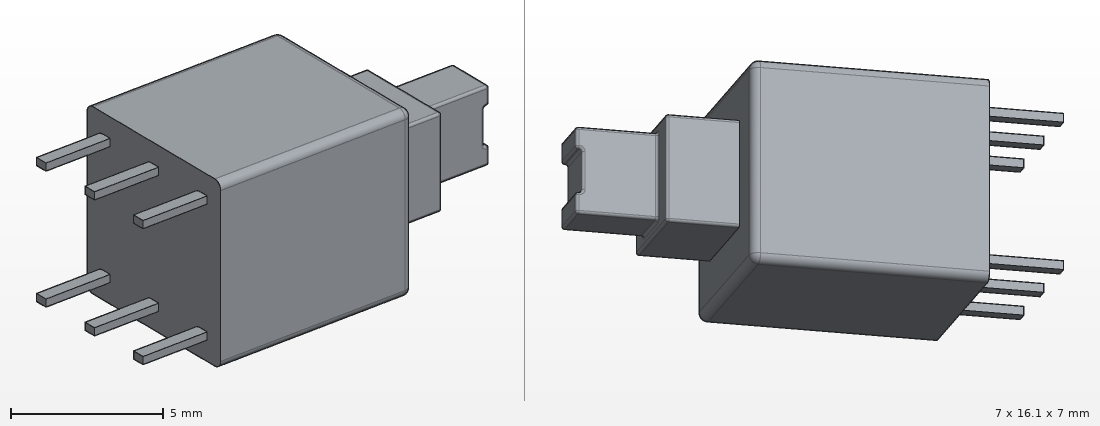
import cadquery as cq

total_length = 16.1
pin_length = 2.7
collar_length = 2.5
plunger_length = 2.8
body_length = total_length - pin_length - collar_length - plunger_length

body_size = 7.0
body_fillet = 0.3

collar_width = 3.9
collar_height = 3.7
plunger_width = 1.9
plunger_height = 3.0
edge_fillet = 0.1

notch_height = 1.5
notch_depth = 0.21

pin_width = 0.5
pin_thickness = 0.3
pin_pitch = 2.55
row_spacing = 2 * pin_pitch

body_end = body_length
collar_end = body_end + collar_length
plunger_end = collar_end + plunger_length


def block(width, height, start, end):
    """Box centred on the switch axis, running from start to end along Y."""
    return (
        cq.Workplane("XY")
        .box(width, end - start, height, centered=(True, False, True))
        .translate((0, start, 0))
    )


def make_body():
    body = block(body_size, body_size, 0, body_end)
    return body.edges("|Y or >Y").fillet(body_fillet)


def make_collar():
    collar = block(collar_width, collar_height, body_end, collar_end)
    return collar.edges("|Y or >Y").fillet(edge_fillet)


def make_plunger():
    """Bar with a notched tip; every edge is rounded except those at its root."""
    plunger = block(plunger_width, plunger_height, collar_end, plunger_end)
    notch = block(plunger_width, notch_height, plunger_end - notch_depth, plunger_end)
    return plunger.cut(notch).edges("not <Y").fillet(edge_fillet)


def add_root_fillet(part):
    """Blend the plunger into the end face of the collar."""
    margin = edge_fillet
    root = cq.selectors.BoxSelector(
        (-plunger_width / 2 - margin, collar_end - margin / 2, -plunger_height / 2 - margin),
        (plunger_width / 2 + margin, collar_end + margin / 2, plunger_height / 2 + margin),
        boundingbox=True,
    )
    return part.edges(root).fillet(edge_fillet)


def make_pins():
    """Two rows of three flat pins standing out of the pin face."""
    return (
        cq.Workplane("XZ")
        .rarray(pin_pitch, row_spacing, 3, 2)
        .rect(pin_width, pin_thickness)
        .extrude(pin_length)
    )


actuator = add_root_fillet(make_collar().union(make_plunger()))
result = make_body().union(actuator).union(make_pins())